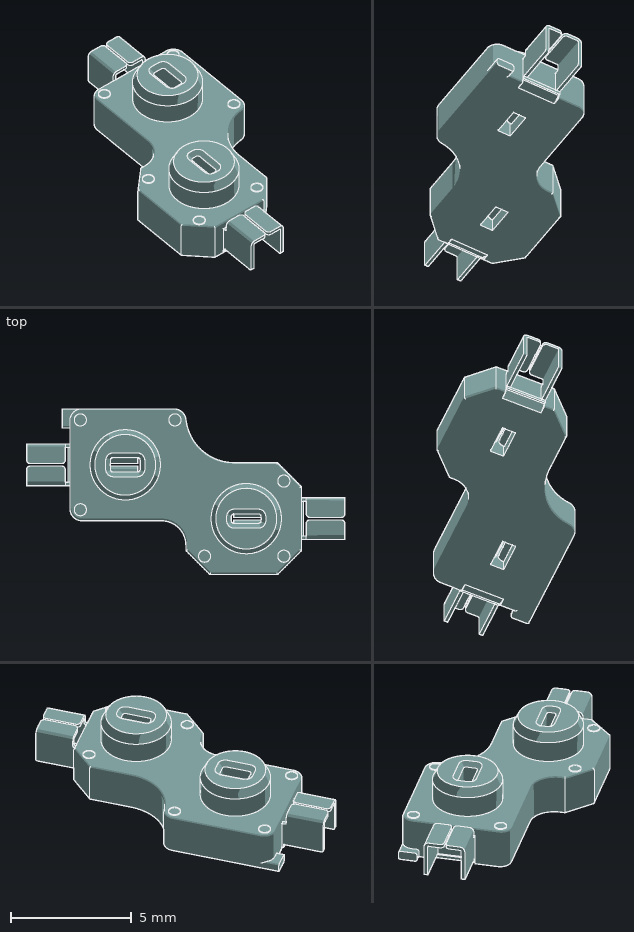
import cadquery as cq
import math

PITCH_X = 5.0
PITCH_Y = -2.22
END_REACH = 4.08

END_WALL = 2.29
HALF_WIDTH = 2.31
HOUSING_HEIGHT = 1.75
STEP_X = PITCH_X / 2
CORNER_RADIUS = 0.5
CORNER_CUT = 1.0
BACK_STEP_RADIUS = 2.0
FRONT_STEP_RADIUS = 1.0
EDGE_FILLET = 0.1

BOSS_DIAMETER = 2.9
BOSS_TOP = 3.05
BOSS_BEVEL_HEIGHT = 0.4
BOSS_BEVEL_WIDTH = 0.2

SLOT_LENGTH = 1.22
LEFT_SLOT_WIDTH = 0.59
RIGHT_SLOT_WIDTH = 0.4
SLOT_CORNER_RADIUS = 0.12
SLOT_CHAMFER = 0.2
SLOT_CHAMFER_ANGLE = 45
CAVITY_WIDTH = LEFT_SLOT_WIDTH

CONTACT_GAP = 0.09
CONTACT_LENGTH = 1.13
CONTACT_RADIUS = (CAVITY_WIDTH - CONTACT_GAP) / 2
CONTACT_Z = HOUSING_HEIGHT / 2

PAD_DIAMETER = 0.5
PAD_HEIGHT = 0.04
LEFT_PAD_OFFSET = 1.85
BACK_PAD_X = 2.05
RIGHT_PAD_OFFSET = 1.55
STEP_PAD_OFFSET = 1.72

TAB_REACH = 0.32
TAB_WIDTH = 0.8
TAB_HEIGHT = 0.4

TERMINAL_WIDTH = 1.74
TERMINAL_TOP = 1.9
SHEET = 0.16
FLOOR_BOTTOM = 0.16
FLOOR_TOP = FLOOR_BOTTOM + SHEET
BEND_RADIUS = 0.21
CRIMP_LENGTH = 1.6
FLAP_GAP = 0.09
FLAP_CORNER_RADIUS = 0.16
WALL_CORNER_RADIUS = 0.08
ROOT_TOP = 1.41
NOTCH_RADIUS = 0.08
FLOOR_REACH = 0.08
ROOT_DEPTH = 0.53
RAMP_LENGTH = 0.37


def box(x_min, x_max, y_min, y_max, z_min, z_max):
    """Block given by its limits along each axis."""
    size = (x_max - x_min, y_max - y_min, z_max - z_min)
    return cq.Workplane("XY").box(*size, centered=False).translate((x_min, y_min, z_min))


def at_right_boss(body):
    """Turn a body made for the left boss by half a turn and move it to the right boss."""
    return body.rotate((0, 0, 0), (0, 0, 1), 180).translate((PITCH_X, PITCH_Y, 0))


def terminal():
    half = TERMINAL_WIDTH / 2
    free_end = -END_REACH
    crimp_end = free_end + CRIMP_LENGTH
    floor_start = -END_WALL - FLOOR_REACH
    root_end = -END_WALL + ROOT_DEPTH

    outside = box(free_end, root_end, -half, half, FLOOR_BOTTOM, TERMINAL_TOP)
    outside = outside.edges("|X and >Z").fillet(BEND_RADIUS)
    inside = box(free_end, root_end, -half + SHEET, half - SHEET, FLOOR_TOP, TERMINAL_TOP - SHEET)
    inside = inside.edges("|X and >Z").fillet(BEND_RADIUS - SHEET)
    channel = outside.cut(inside)

    side = (
        cq.Workplane("XZ")
        .moveTo(free_end, TERMINAL_TOP)
        .lineTo(crimp_end, TERMINAL_TOP)
        .lineTo(crimp_end, ROOT_TOP + NOTCH_RADIUS)
        .radiusArc((crimp_end + NOTCH_RADIUS, ROOT_TOP), -NOTCH_RADIUS)
        .lineTo(root_end, ROOT_TOP)
        .lineTo(root_end, FLOOR_BOTTOM)
        .lineTo(floor_start, FLOOR_BOTTOM)
        .lineTo(floor_start, FLOOR_TOP)
        .lineTo(free_end + WALL_CORNER_RADIUS, FLOOR_TOP)
        .radiusArc((free_end, FLOOR_TOP + WALL_CORNER_RADIUS), WALL_CORNER_RADIUS)
        .close()
        .extrude(half, both=True)
    )
    channel = channel.intersect(side)

    slit = box(free_end, crimp_end, -FLAP_GAP / 2, FLAP_GAP / 2, ROOT_TOP, TERMINAL_TOP)
    channel = channel.cut(slit)
    flap_corners = cq.selectors.BoxSelector(
        (free_end - SHEET, -FLAP_GAP, TERMINAL_TOP - 2 * SHEET),
        (crimp_end + SHEET, FLAP_GAP, TERMINAL_TOP + SHEET),
    )
    return channel.edges("|Z").edges(flap_corners).fillet(FLAP_CORNER_RADIUS)


def contact(side):
    """Contact below the left boss, on the cavity wall at the +Y (1) or -Y (-1) side."""
    start = -SLOT_LENGTH / 2
    wall = side * CAVITY_WIDTH / 2
    bar = (
        cq.Workplane("YZ")
        .center(wall, CONTACT_Z)
        .circle(CONTACT_RADIUS)
        .extrude(CONTACT_LENGTH)
        .translate((start, 0, 0))
    )
    free_space = box(
        start, start + CONTACT_LENGTH, -CAVITY_WIDTH / 2, CAVITY_WIDTH / 2, 0, HOUSING_HEIGHT
    )
    return bar.intersect(free_space)


def housing_block():
    """Two offset blocks joined by a step with rounded sides."""
    left = -END_WALL
    right = PITCH_X + END_WALL
    right_back = PITCH_Y + HALF_WIDTH
    right_front = PITCH_Y - HALF_WIDTH

    step_centre_x = STEP_X + BACK_STEP_RADIUS
    step_centre_y = right_back + BACK_STEP_RADIUS
    corner_centre_y = HALF_WIDTH - CORNER_RADIUS
    rise = step_centre_y - corner_centre_y
    centre_distance = BACK_STEP_RADIUS + CORNER_RADIUS
    corner_centre_x = step_centre_x - math.sqrt(centre_distance**2 - rise**2)
    share = CORNER_RADIUS / centre_distance
    touch_x = corner_centre_x + share * (step_centre_x - corner_centre_x)
    touch_y = corner_centre_y + share * rise

    outline = (
        cq.Workplane("XY")
        .moveTo(left + CORNER_RADIUS, HALF_WIDTH)
        .lineTo(corner_centre_x, HALF_WIDTH)
        .radiusArc((touch_x, touch_y), CORNER_RADIUS)
        .radiusArc((step_centre_x, right_back), -BACK_STEP_RADIUS)
        .lineTo(right - CORNER_CUT, right_back)
        .lineTo(right, right_back - CORNER_CUT)
        .lineTo(right, right_front + CORNER_CUT)
        .lineTo(right - CORNER_CUT, right_front)
        .lineTo(STEP_X + CORNER_CUT, right_front)
        .lineTo(STEP_X, right_front + CORNER_CUT)
        .lineTo(STEP_X, -HALF_WIDTH - FRONT_STEP_RADIUS)
        .radiusArc((STEP_X - FRONT_STEP_RADIUS, -HALF_WIDTH), -FRONT_STEP_RADIUS)
        .lineTo(left + CORNER_RADIUS, -HALF_WIDTH)
        .radiusArc((left, -HALF_WIDTH + CORNER_RADIUS), CORNER_RADIUS)
        .lineTo(left, HALF_WIDTH - CORNER_RADIUS)
        .radiusArc((left + CORNER_RADIUS, HALF_WIDTH), CORNER_RADIUS)
        .close()
    )
    return outline.extrude(HOUSING_HEIGHT).faces("<Z or >Z").edges().fillet(EDGE_FILLET)


def corner_tab():
    tab = box(
        -END_WALL - TAB_REACH, -END_WALL + CORNER_RADIUS,
        HALF_WIDTH - TAB_WIDTH, HALF_WIDTH, 0, TAB_HEIGHT,
    )
    return tab.edges("|X").fillet(EDGE_FILLET)


def boss():
    """Boss on the left block; its base starts at the top face."""
    radius = BOSS_DIAMETER / 2
    top_radius = radius - BOSS_BEVEL_WIDTH
    half_section = [
        (0, HOUSING_HEIGHT),
        (radius, HOUSING_HEIGHT),
        (radius, BOSS_TOP - BOSS_BEVEL_HEIGHT),
        (top_radius, BOSS_TOP),
        (0, BOSS_TOP),
    ]
    return cq.Workplane("XZ").polyline(half_section).close().revolve(360, (0, 0), (0, 1))


def pads():
    right_x = PITCH_X + RIGHT_PAD_OFFSET
    centres = [
        (-LEFT_PAD_OFFSET, LEFT_PAD_OFFSET),
        (-LEFT_PAD_OFFSET, -LEFT_PAD_OFFSET),
        (BACK_PAD_X, LEFT_PAD_OFFSET),
        (right_x, PITCH_Y + RIGHT_PAD_OFFSET),
        (right_x, PITCH_Y - RIGHT_PAD_OFFSET),
        (PITCH_X - STEP_PAD_OFFSET, PITCH_Y - RIGHT_PAD_OFFSET),
    ]
    base = HOUSING_HEIGHT - EDGE_FILLET
    discs = cq.Workplane("XY").workplane(offset=base).pushPoints(centres)
    return discs.circle(PAD_DIAMETER / 2).extrude(EDGE_FILLET + PAD_HEIGHT)


def slot_cut(width):
    """Chamfered slot down through the left boss into a contact cavity open at the bottom."""
    upper = (
        box(-SLOT_LENGTH / 2, SLOT_LENGTH / 2, -width / 2, width / 2, HOUSING_HEIGHT, BOSS_TOP)
        .edges("|Z")
        .fillet(SLOT_CORNER_RADIUS)
    )
    mouth = (
        cq.Workplane("XY")
        .workplane(offset=BOSS_TOP - SLOT_CHAMFER)
        .placeSketch(
            cq.Sketch().rect(SLOT_LENGTH, width).vertices().fillet(SLOT_CORNER_RADIUS)
        )
        .extrude(SLOT_CHAMFER, taper=-SLOT_CHAMFER_ANGLE)
    )
    cavity = box(
        -SLOT_LENGTH / 2, SLOT_LENGTH / 2, -CAVITY_WIDTH / 2, CAVITY_WIDTH / 2, 0, HOUSING_HEIGHT
    )
    return upper.union(mouth).union(cavity)


def ramp_cut():
    """Sloping relief in the bottom edge below the left terminal."""
    section = [
        (-END_WALL, 0),
        (-END_WALL, FLOOR_BOTTOM),
        (-END_WALL + RAMP_LENGTH, 0),
    ]
    return cq.Workplane("XZ").polyline(section).close().extrude(TERMINAL_WIDTH / 2, both=True)


def housing(terminals):
    body = housing_block().union(corner_tab()).union(pads())
    body = body.union(boss()).union(at_right_boss(boss()))
    body = body.cut(slot_cut(LEFT_SLOT_WIDTH)).cut(at_right_boss(slot_cut(RIGHT_SLOT_WIDTH)))
    body = body.cut(ramp_cut()).cut(at_right_boss(ramp_cut()))
    for seated_terminal in terminals:
        body = body.cut(seated_terminal)
    return body


left_terminal = terminal()
terminals = [left_terminal, at_right_boss(left_terminal)]

contacts = []
for wall_side in (1, -1):
    left_contact = contact(wall_side)
    contacts.append(left_contact)
    contacts.append(at_right_boss(left_contact))

housing_body = housing(terminals)
bodies = [housing_body] + terminals + contacts
result = cq.Compound.makeCompound([body.val() for body in bodies])